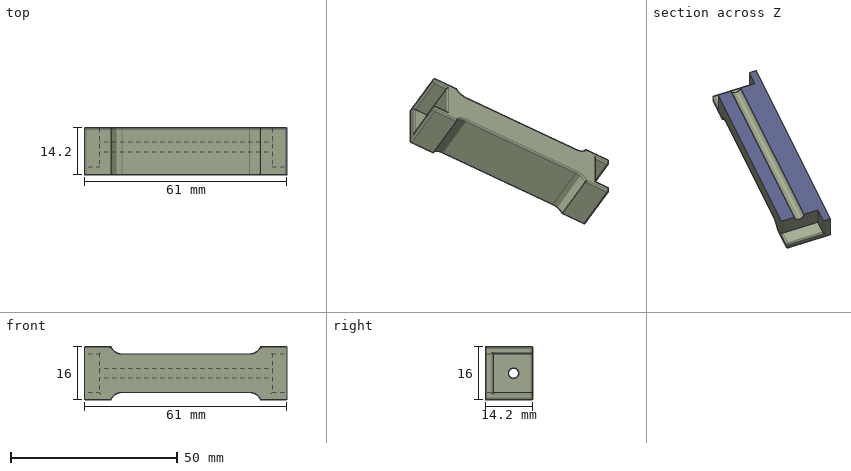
import cadquery as cq
import math

length = 61.0
depth = 14.2
height = 16.0

neck_step = 2.2
block_length = 8.0
flare_radius = 3.65
neck_half_height = height / 2 - neck_step
flare_length = math.sqrt(flare_radius**2 - (flare_radius - neck_step)**2)

side_wall = 2.2
floor_wall = 2.4
pocket_length = 4.5

bore_diameter = 3.0
bore_above_floor = 6.0
bore_y = -depth / 2 + floor_wall + bore_above_floor

edge_radius = 0.5
selection_tolerance = 0.01


def make_body():
    """Dumbbell outline in XZ, extruded along Y; arcs run tangent into the neck."""
    half_length = length / 2
    half_height = height / 2
    block_x = half_length - block_length
    neck_x = block_x - flare_length
    half_angle = math.asin(flare_length / flare_radius) / 2
    mid_x = neck_x + flare_radius * math.sin(half_angle)
    mid_z = neck_half_height + flare_radius * (1 - math.cos(half_angle))
    return (
        cq.Workplane("XZ", origin=(0, depth / 2, 0))
        .moveTo(-half_length, -half_height)
        .lineTo(-half_length, half_height)
        .lineTo(-block_x, half_height)
        .threePointArc((-mid_x, mid_z), (-neck_x, neck_half_height))
        .lineTo(neck_x, neck_half_height)
        .threePointArc((mid_x, mid_z), (block_x, half_height))
        .lineTo(half_length, half_height)
        .lineTo(half_length, -half_height)
        .lineTo(block_x, -half_height)
        .threePointArc((mid_x, -mid_z), (neck_x, -neck_half_height))
        .lineTo(-neck_x, -neck_half_height)
        .threePointArc((-mid_x, -mid_z), (-block_x, -half_height))
        .close()
        .extrude(depth)
    )


def cut_end_pockets(body):
    """Cut one pocket into each end, leaving walls on the -Y, +Z and -Z sides."""
    for side in (-1, 1):
        pocket = cq.Workplane("XY").box(pocket_length, depth - floor_wall, height - 2 * side_wall)
        pocket_x = side * (length - pocket_length) / 2
        body = body.cut(pocket.translate((pocket_x, floor_wall / 2, 0)))
    return body


def round_edges(body):
    """Round the edges of the +Y face and of both end faces, but not those on the -Y face."""
    sharp_side = -depth / 2 + selection_tolerance
    edges = body.faces(">Y or <X or >X").edges().filter(lambda edge: edge.Center().y > sharp_side)
    return edges.fillet(edge_radius)


def cut_bore(body):
    """Drill the bore through the whole length."""
    bore = cq.Workplane("YZ", origin=(-length / 2, bore_y, 0)).circle(bore_diameter / 2).extrude(length)
    return body.cut(bore)


result = cut_bore(round_edges(cut_end_pockets(make_body())))